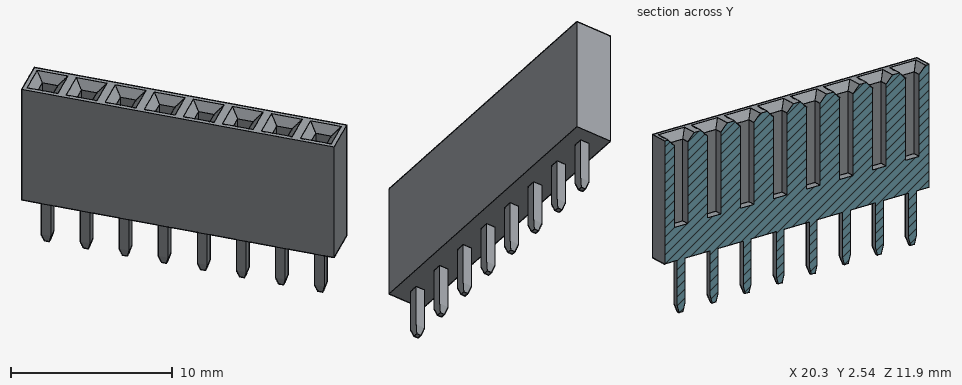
import cadquery as cq

pitch = 2.54
contact_count = 8
body_length = contact_count * pitch
body_width = pitch
total_height = 11.85
pin_length = 3.55
body_height = total_height - pin_length

funnel_mouth = 2.0
socket_side = 1.0
funnel_depth = (funnel_mouth - socket_side) / 2
socket_depth = 6.0

pin_side = 0.64
tip_side = 0.32
tip_length = 0.55

contact_positions = [(index - (contact_count - 1) / 2) * pitch for index in range(contact_count)]


def square_taper(x, start_z, start_side, end_z, end_side):
    """Square frustum centred on y = 0, running from start_z to end_z."""
    return (
        cq.Workplane("XY", origin=(x, 0, start_z))
        .rect(start_side, start_side)
        .workplane(offset=end_z - start_z)
        .rect(end_side, end_side)
        .loft(ruled=True)
    )


def square_bar(x, bottom_z, top_z, side):
    return cq.Workplane("XY", origin=(x, 0, bottom_z)).rect(side, side).extrude(top_z - bottom_z)


def contact_opening(x):
    funnel_bottom = body_height - funnel_depth
    funnel = square_taper(x, funnel_bottom, socket_side, body_height, funnel_mouth)
    socket = square_bar(x, body_height - socket_depth, funnel_bottom, socket_side)
    return funnel.union(socket)


def pin(x):
    shank_bottom = tip_length - pin_length
    shank = square_bar(x, shank_bottom, 0, pin_side)
    tip = square_taper(x, -pin_length, tip_side, shank_bottom, pin_side)
    return shank.union(tip)


result = cq.Workplane("XY").box(body_length, body_width, body_height, centered=(True, True, False))
for contact_x in contact_positions:
    result = result.cut(contact_opening(contact_x)).union(pin(contact_x))